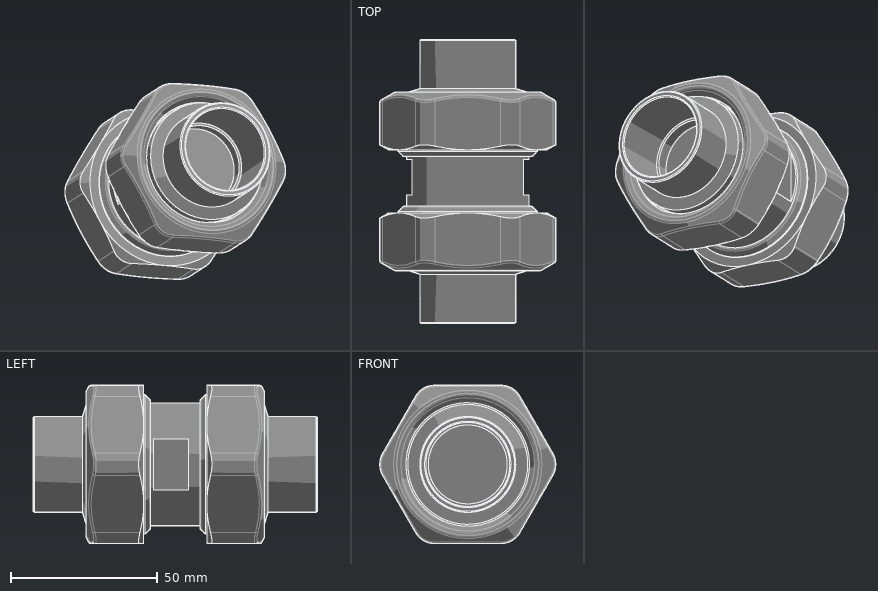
import cadquery as cq
import math


total_length = 97.0
half_length = total_length / 2

across_flats = 54.1
across_corners = 60.1
envelope_margin = 1.0
nut_inner_y = 8.4
hex_inner_y = 10.8
nut_outer_y = 30.5
collar_radius = 47.6 / 2
collar_chamfer = 1.8
collar_rounding = 1.0
hex_chamfer_angle = 30.0
hex_edge_rounding = 1.0
lip_rounding = 1.9
lip_crest_radius = 24.2
lip_crest_width = 0.2
nut_bore_radius = 42.2 / 2
lip_cone_angle = 45.0
nut_shoulder_y = 26.2
flange_radius = 44.5 / 2

body_radius = 42.0 / 2
body_end_y = 21.3
wrench_flat_distance = 19.1
wrench_flat_y_min = -4.6
wrench_flat_y_max = 7.5

pipe_radius = 32.8 / 2
pipe_bore_radius = 28.7 / 2
pipe_edge_chamfer = 0.4
inner_bore_radius = 27.0 / 2
bore_step_y = nut_shoulder_y
tail_neck_radius = 40.9 / 2
tail_cone_inner_y = 30.45
tail_cone_outer_y = 31.7


def revolve_profile(profile):
    """Turn a closed (radius, y) outline around the Y axis."""
    return profile.close().revolve(360, (0, 0, 0), (0, 1, 0))


def mirrored_pair(part):
    """A part on the +Y side together with its mirror image on the -Y side."""
    return [part, part.mirror("XZ")]


def hexagon():
    """Hexagonal bar with flats facing +Z and -Z and rounded corners."""
    sharp_corner = across_flats / 2 / math.cos(math.radians(30))
    corner_rounding = (sharp_corner - across_corners / 2) / (1 / math.cos(math.radians(30)) - 1)
    return (
        cq.Workplane("XZ", origin=(0, nut_inner_y, 0))
        .polygon(6, 2 * sharp_corner)
        .extrude(nut_inner_y - nut_outer_y)
        .edges("|Y")
        .fillet(corner_rounding)
    )


def nut_envelope():
    """Turned outside of the nut: collar, chamfered hexagon limits, rounded lip and bores."""
    chamfer = math.radians(hex_chamfer_angle)
    cone = math.radians(lip_cone_angle)
    outer_limit = across_corners / 2 + envelope_margin
    center_y = nut_outer_y - lip_rounding

    def lip_point(side, angle):
        """Point on the lip rounding, outside (side 1) or inside (side -1) of the crest."""
        radius = lip_crest_radius + side * (lip_crest_width / 2 + lip_rounding * math.sin(angle))
        return (radius, center_y + lip_rounding * math.cos(angle))

    chamfer_top = lip_point(1, chamfer)
    cone_top = lip_point(-1, cone)
    cone_bottom_y = cone_top[1] - (cone_top[0] - nut_bore_radius) * math.tan(cone)
    outer_chamfer_y = chamfer_top[1] - (outer_limit - chamfer_top[0]) * math.tan(chamfer)
    inner_chamfer_y = hex_inner_y + (outer_limit - across_flats / 2) * math.tan(chamfer)
    envelope = revolve_profile(
        cq.Workplane("XY")
        .moveTo(nut_bore_radius, nut_inner_y)
        .lineTo(collar_radius - collar_chamfer, nut_inner_y)
        .lineTo(collar_radius, nut_inner_y + collar_chamfer)
        .lineTo(collar_radius, hex_inner_y)
        .lineTo(across_flats / 2, hex_inner_y)
        .lineTo(outer_limit, inner_chamfer_y)
        .lineTo(outer_limit, outer_chamfer_y)
        .lineTo(*chamfer_top)
        .threePointArc(lip_point(1, chamfer / 2), lip_point(1, 0))
        .lineTo(*lip_point(-1, 0))
        .threePointArc(lip_point(-1, cone / 2), cone_top)
        .lineTo(nut_bore_radius, cone_bottom_y)
        .lineTo(nut_bore_radius, nut_shoulder_y)
        .lineTo(flange_radius, nut_shoulder_y)
        .lineTo(flange_radius, body_end_y)
        .lineTo(nut_bore_radius, body_end_y)
    )
    collar_edge = envelope.edges("<Y").edges(cq.selectors.RadiusNthSelector(-1))
    return collar_edge.fillet(collar_rounding)


def make_nut():
    """Union nut: the hexagon cut to the turned envelope, with the edges of its outer chamfer rounded."""
    nut = hexagon().intersect(nut_envelope())
    middle_y = (hex_inner_y + nut_outer_y) / 2
    outer_half = cq.selectors.BoxSelector(
        (-across_corners, middle_y, -across_corners), (across_corners, nut_outer_y, across_corners)
    )
    chamfer_edges = nut.edges(outer_half).edges("not %CIRCLE").edges("not %LINE")
    return chamfer_edges.fillet(hex_edge_rounding)


def make_tail():
    """Pipe end with a cone, a neck through the nut lip and a flange clamped by the nut."""
    return revolve_profile(
        cq.Workplane("XY")
        .moveTo(inner_bore_radius, body_end_y)
        .lineTo(flange_radius, body_end_y)
        .lineTo(flange_radius, nut_shoulder_y)
        .lineTo(tail_neck_radius, nut_shoulder_y)
        .lineTo(tail_neck_radius, tail_cone_inner_y)
        .lineTo(pipe_radius, tail_cone_outer_y)
        .lineTo(pipe_radius, half_length - pipe_edge_chamfer)
        .lineTo(pipe_radius - pipe_edge_chamfer, half_length)
        .lineTo(pipe_bore_radius + pipe_edge_chamfer, half_length)
        .lineTo(pipe_bore_radius, half_length - pipe_edge_chamfer)
        .lineTo(pipe_bore_radius, bore_step_y)
        .lineTo(inner_bore_radius, bore_step_y)
    )


def make_body():
    """Closed round body whose ends sit in the nuts, with two wrench flats."""
    body = cq.Workplane("XZ").circle(body_radius).extrude(body_end_y, both=True)
    flat_length = wrench_flat_y_max - wrench_flat_y_min
    for side in (-1, 1):
        cutter = cq.Workplane("XY").box(body_radius, flat_length, 2 * body_radius).translate(
            (side * (wrench_flat_distance + body_radius / 2), (wrench_flat_y_min + wrench_flat_y_max) / 2, 0)
        )
        body = body.cut(cutter)
    return body


body = make_body()
nuts = mirrored_pair(make_nut())
tails = mirrored_pair(make_tail())

result = cq.Compound.makeCompound([part.val() for part in [body, *nuts, *tails]])